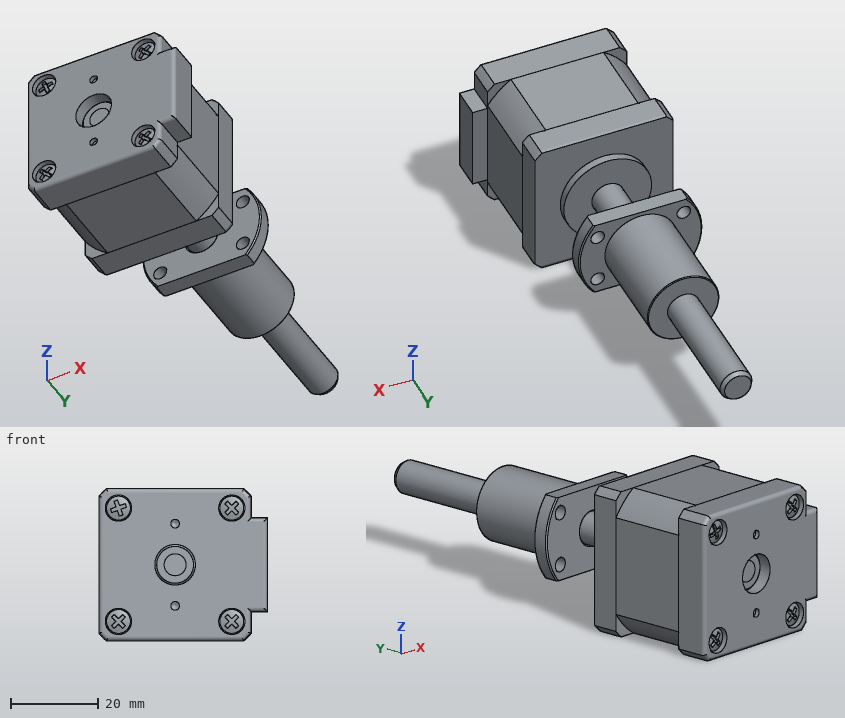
import cadquery as cq
import math


MOTOR_SIDE = 35.0
REAR_CAP_FRONT = 8.1
STATOR_FRONT = 27.6
CAP_FRONT = 34.5
BOSS_FRONT = 36.5
BOSS_DIAMETER = 22.0
CAP_FLAT = 31.5
STATOR_FLAT = 23.2
REAR_ROUND = 1.0
FRONT_CHAMFER_LENGTH = 0.7
FRONT_CHAMFER_INSET = 0.16

CONNECTOR_REACH = 3.7
CONNECTOR_WIDTH = 21.6

REAR_BORE = 9.3
REAR_BORE_DEPTH = 2.7
FLOOR_DISC = 8.4
SMALL_HOLE = 2.0
SMALL_HOLE_OFFSET = 9.4
SMALL_HOLE_DEPTH = 1.1
SMALL_HOLE_POINT_ANGLE = 118.0

SCREW_PITCH = 26.0
SCREW_POCKET = 6.0
SCREW_POCKET_DEPTH = 2.0
SCREW_HEAD = 5.5
SCREW_RIM_DEPTH = 1.1
SCREW_CROWN_DEPTH = 0.5
CROSS_LENGTH = 3.6
CROSS_WIDTH = 0.9
CROSS_DEPTH = 1.0
CROSS_TURNS = (45, 20, 45, 45)

SHAFT_DIAMETER = 8.0
SHAFT_END = 109.6
SHAFT_CHAMFER_LENGTH = 1.1
SHAFT_CHAMFER_INSET = 0.7
SHAFT_TAIL = 5.0

NUT_DIAMETER = 18.0
NUT_BACK = 51.1
FLANGE_FRONT = 55.0
NUT_FRONT = 79.0
NUT_CHAMFER = 0.2
FLANGE_DIAMETER = 31.0
FLANGE_HEIGHT = 20.1
FLANGE_CHAMFER = 0.3
FLANGE_BOLT_CIRCLE = 25.0
FLANGE_HOLE = 3.4
FLANGE_HOLE_ANGLE = 30.0
NUT_BORE_CHAMFER = 0.3


def plane_at(y):
    """Sketch plane at height y along the axis: local x is X, local y is Z, extrusion goes to -Y."""
    return cq.Workplane("XZ", origin=(0, y, 0))


def cylinder(diameter, back, front):
    return plane_at(front).circle(diameter / 2).extrude(front - back)


def cone(back_diameter, front_diameter, back, length):
    solid = cq.Solid.makeCone(
        back_diameter / 2, front_diameter / 2, length, pnt=cq.Vector(0, back, 0), dir=cq.Vector(0, 1, 0)
    )
    return cq.Workplane(solid)


def trimmed_square(flat, back, front):
    """Square block whose corners are turned round about the axis, leaving flats of the given width."""
    corner_diameter = math.hypot(MOTOR_SIDE, flat)
    block = plane_at(front).rect(MOTOR_SIDE, MOTOR_SIDE).extrude(front - back)
    return block.intersect(cylinder(corner_diameter, back, front))


def screw_centres():
    half = SCREW_PITCH / 2
    return [(x, z) for x in (-half, half) for z in (-half, half)]


def small_hole():
    """Blind drilled hole with a conical end, on the motor axis."""
    radius = SMALL_HOLE / 2
    tip = SMALL_HOLE_DEPTH + radius / math.tan(math.radians(SMALL_HOLE_POINT_ANGLE / 2))
    return (
        cq.Workplane("XY")
        .polyline([(0, 0), (radius, 0), (radius, SMALL_HOLE_DEPTH), (0, tip)])
        .close()
        .revolve(360, (0, 0), (0, 1))
    )


def make_rear_cap():
    cap = trimmed_square(CAP_FLAT, 0, REAR_CAP_FRONT)
    connector_right = MOTOR_SIDE / 2 + CONNECTOR_REACH
    connector = (
        plane_at(REAR_CAP_FRONT)
        .center(connector_right / 2, 0)
        .rect(connector_right, CONNECTOR_WIDTH)
        .extrude(REAR_CAP_FRONT)
    )
    cap = cap.union(connector)
    cap = cap.faces("<Y").edges().fillet(REAR_ROUND)
    bevel_depth = (REAR_BORE - FLOOR_DISC) / 2
    cap = cap.cut(cylinder(REAR_BORE, 0, REAR_BORE_DEPTH + bevel_depth))
    cap = cap.union(cone(FLOOR_DISC, REAR_BORE, REAR_BORE_DEPTH, bevel_depth))
    cap = cap.cut(cylinder(SHAFT_TAIL, REAR_BORE_DEPTH, REAR_CAP_FRONT))
    for z in (SMALL_HOLE_OFFSET, -SMALL_HOLE_OFFSET):
        cap = cap.cut(small_hole().translate((0, 0, z)))
    pockets = (
        plane_at(SCREW_POCKET_DEPTH)
        .pushPoints(screw_centres())
        .circle(SCREW_POCKET / 2)
        .extrude(SCREW_POCKET_DEPTH)
    )
    return cap.cut(pockets)


def make_core():
    """Stator block in one piece with the screw shaft that runs out through both caps."""
    stator = trimmed_square(STATOR_FLAT, REAR_CAP_FRONT, STATOR_FRONT)
    rod = cylinder(SHAFT_DIAMETER, STATOR_FRONT, SHAFT_END)
    rod = rod.faces(">Y").edges().chamfer(SHAFT_CHAMFER_LENGTH, SHAFT_CHAMFER_INSET)
    tail = cylinder(SHAFT_TAIL, REAR_BORE_DEPTH, REAR_CAP_FRONT)
    return stator.union(rod).union(tail)


def make_front_cap():
    cap = trimmed_square(CAP_FLAT, STATOR_FRONT, CAP_FRONT)
    cap = cap.faces(">Y").edges().chamfer(FRONT_CHAMFER_INSET, FRONT_CHAMFER_LENGTH)
    cap = cap.union(cylinder(BOSS_DIAMETER, CAP_FRONT, BOSS_FRONT))
    return cap.cut(cylinder(SHAFT_DIAMETER, STATOR_FRONT, BOSS_FRONT))


def make_nut():
    flange = cylinder(FLANGE_DIAMETER, NUT_BACK, FLANGE_FRONT).edges().chamfer(FLANGE_CHAMFER)
    flange = flange.intersect(
        plane_at(FLANGE_FRONT).rect(FLANGE_DIAMETER, FLANGE_HEIGHT).extrude(FLANGE_FRONT - NUT_BACK)
    )
    barrel = cylinder(NUT_DIAMETER, NUT_BACK, NUT_FRONT).faces(">Y").chamfer(NUT_CHAMFER)
    nut = flange.union(barrel)
    angle = math.radians(FLANGE_HOLE_ANGLE)
    holes = (
        plane_at(FLANGE_FRONT)
        .rect(FLANGE_BOLT_CIRCLE * math.cos(angle), FLANGE_BOLT_CIRCLE * math.sin(angle), forConstruction=True)
        .vertices()
        .circle(FLANGE_HOLE / 2)
        .extrude(FLANGE_FRONT - NUT_BACK)
    )
    nut = nut.cut(holes).cut(cylinder(SHAFT_DIAMETER, NUT_BACK, NUT_FRONT))
    mouth_diameter = SHAFT_DIAMETER + 2 * NUT_BORE_CHAMFER
    return nut.cut(cone(mouth_diameter, SHAFT_DIAMETER, NUT_BACK, NUT_BORE_CHAMFER))


def make_screw(x, z, first_turn):
    """Domed head with a cross recess; first_turn is the angle of one arm from X, in degrees."""
    radius = SCREW_HEAD / 2
    rise = SCREW_RIM_DEPTH - SCREW_CROWN_DEPTH
    sphere_radius = (radius**2 + rise**2) / (2 * rise)
    mid = radius / 2
    mid_y = SCREW_CROWN_DEPTH + sphere_radius - math.sqrt(sphere_radius**2 - mid**2)
    head = (
        cq.Workplane("XY")
        .moveTo(0, SCREW_POCKET_DEPTH)
        .lineTo(radius, SCREW_POCKET_DEPTH)
        .lineTo(radius, SCREW_RIM_DEPTH)
        .threePointArc((mid, mid_y), (0, SCREW_CROWN_DEPTH))
        .close()
        .revolve(360, (0, 0), (0, 1))
    )
    for turn in (first_turn, first_turn + 90):
        arm = (
            plane_at(SCREW_CROWN_DEPTH + CROSS_DEPTH)
            .transformed(rotate=(0, 0, turn))
            .rect(CROSS_LENGTH, CROSS_WIDTH)
            .extrude(SCREW_CROWN_DEPTH + CROSS_DEPTH)
        )
        head = head.cut(arm)
    return head.translate((x, 0, z))


rear_cap = make_rear_cap()
core = make_core()
front_cap = make_front_cap()
nut = make_nut()
screws = [
    make_screw(x, z, turn).val() for (x, z), turn in zip(screw_centres(), CROSS_TURNS)
]

result = cq.Compound.makeCompound(
    [rear_cap.val(), core.val(), front_cap.val(), nut.val(), *screws]
)